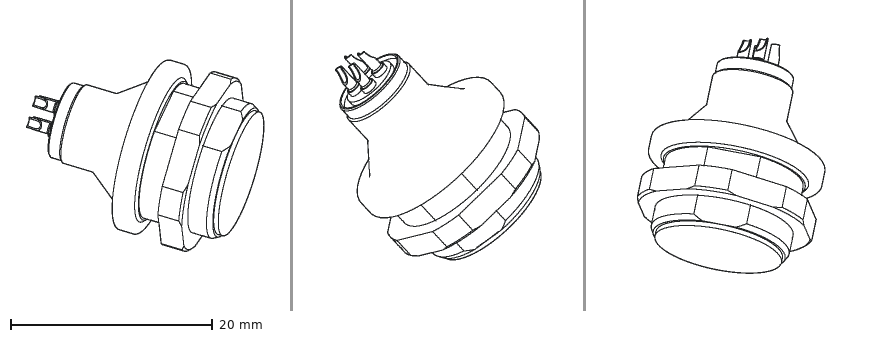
import cadquery as cq
import math


rear_x = 3.0
rear_radius = 3.9
rear_chamfer = 0.13
neck_x = 4.29
neck_radius = 4.09
neck_blend_x = 7.54
neck_blend_radius = 0.45
cone_angle = math.radians(36.5)
flange_blend_radius = 0.95
flange_x = 11.62
flange_end_x = 13.61
flange_radius = 8.82
flange_edge_fillet = 0.29
collar_end_x = 13.9
collar_radius = 7.5
collar_chamfer = collar_end_x - flange_end_x
thread_radius = 7.0
thread_chamfer_x = 21.06
thread_end_x = 21.61
thread_end_radius = 6.7
tail_radius = 6.43
tail_end_x = 22.1

flat_half_height = 6.48
insert_radius = 2.8
recess_radius = 3.6
recess_depth = 0.49

contact_count = 4
contact_circle_radius = 1.55
cup_direction = 45
contact_turn = 5.3
shank_radius = 0.55
flare_x = 2.28
collar_x = 2.45
flare_radius = 0.65
contact_collar_radius = 0.77
cup_bore_radius = 0.4
cup_bore_depth = collar_x
cup_cutter_radius = 2.2
cup_tip_level = -0.13

nut_x = 16.6
nut_end_x = 19.07
nut_across_flats = 17.0
nut_diameter = 18.0
nut_turn = 8.8
nut_chamfer = 0.27


def turned(outline):
    """Revolve a closed (x, radius) outline about the X axis."""
    return outline.close().revolve(360, (0, 0, 0), (1, 0, 0))


def cylinder_x(start_x, end_x, radius):
    """Cylinder along the X axis between two stations."""
    return cq.Workplane("YZ", origin=(start_x, 0, 0)).circle(radius).extrude(end_x - start_x)


def make_shell():
    """Turned shell: stepped neck, blended cone, flange, collar and threaded end."""
    sin_a = math.sin(cone_angle)
    cos_a = math.cos(cone_angle)
    sin_half = math.sin(cone_angle / 2)
    cos_half = math.cos(cone_angle / 2)
    cone_start_x = neck_blend_x + neck_blend_radius * sin_a
    cone_start_radius = neck_radius + neck_blend_radius * (1 - cos_a)
    neck_arc_x = neck_blend_x + neck_blend_radius * sin_half
    neck_arc_radius = neck_radius + neck_blend_radius * (1 - cos_half)
    blend_centre_x = flange_x - flange_blend_radius
    cone_end_x = blend_centre_x + flange_blend_radius * sin_a
    cone_end_radius = cone_start_radius + (cone_end_x - cone_start_x) * math.tan(cone_angle)
    blend_centre_radius = cone_end_radius + flange_blend_radius * cos_a
    mid_angle = (cone_angle + math.pi / 2) / 2
    flange_arc_x = blend_centre_x + flange_blend_radius * math.sin(mid_angle)
    flange_arc_radius = blend_centre_radius - flange_blend_radius * math.cos(mid_angle)

    fillet_inset = flange_edge_fillet * (1 - math.sqrt(0.5))
    neck_chamfer = neck_radius - rear_radius
    outline = (
        cq.Workplane("XY")
        .moveTo(rear_x, 0)
        .lineTo(rear_x, rear_radius - rear_chamfer)
        .lineTo(rear_x + rear_chamfer, rear_radius)
        .lineTo(neck_x, rear_radius)
        .lineTo(neck_x + neck_chamfer, neck_radius)
        .lineTo(neck_blend_x, neck_radius)
        .threePointArc((neck_arc_x, neck_arc_radius), (cone_start_x, cone_start_radius))
        .lineTo(cone_end_x, cone_end_radius)
        .threePointArc((flange_arc_x, flange_arc_radius), (flange_x, blend_centre_radius))
        .lineTo(flange_x, flange_radius - flange_edge_fillet)
        .threePointArc(
            (flange_x + fillet_inset, flange_radius - fillet_inset),
            (flange_x + flange_edge_fillet, flange_radius),
        )
        .lineTo(flange_end_x - flange_edge_fillet, flange_radius)
        .threePointArc(
            (flange_end_x - fillet_inset, flange_radius - fillet_inset),
            (flange_end_x, flange_radius - flange_edge_fillet),
        )
        .lineTo(flange_end_x, collar_radius)
        .lineTo(collar_end_x, collar_radius - collar_chamfer)
        .lineTo(collar_end_x, thread_radius)
        .lineTo(thread_chamfer_x, thread_radius)
        .lineTo(thread_end_x, thread_end_radius)
        .lineTo(thread_end_x, tail_radius)
        .lineTo(tail_end_x, tail_radius)
        .lineTo(tail_end_x, 0)
    )
    return turned(outline)


def cut_thread_flats(body):
    """Flatten the thread on its +Z and -Z sides, from the collar to the end."""
    length = tail_end_x - collar_end_x
    depth = thread_radius - flat_half_height
    for side in (1, -1):
        centre = ((collar_end_x + tail_end_x) / 2, 0, side * (flat_half_height + depth / 2))
        slab = cq.Workplane("XY", origin=centre).box(length, 2 * thread_radius, depth)
        body = body.cut(slab)
    return body


def cut_rear_recess(body):
    """Ring recess that leaves the round contact insert standing in the rear face."""
    floor_x = rear_x + recess_depth
    ring = cylinder_x(rear_x, floor_x, recess_radius).cut(cylinder_x(rear_x, floor_x, insert_radius))
    return body.cut(ring)


def make_contact():
    """One contact on the X axis, its solder cup opening towards +Z."""
    outline = (
        cq.Workplane("XY")
        .lineTo(0, shank_radius)
        .lineTo(flare_x, shank_radius)
        .lineTo(collar_x, flare_radius)
        .lineTo(collar_x, contact_collar_radius)
        .lineTo(rear_x + recess_depth, contact_collar_radius)
        .lineTo(rear_x + recess_depth, 0)
    )
    bore = cylinder_x(0, cup_bore_depth, cup_bore_radius)
    cutter = (
        cq.Workplane("XZ")
        .center(0, cup_tip_level + cup_cutter_radius)
        .circle(cup_cutter_radius)
        .extrude(shank_radius, both=True)
    )
    return turned(outline).cut(bore).cut(cutter)


def add_contacts(body):
    """Four contacts; the two on the -Y/+Z side open that way, the other two open opposite."""
    contact = make_contact()
    for index in range(contact_count):
        place_angle = index * 360 / contact_count - contact_turn
        opening_angle = cup_direction - contact_turn
        if index >= contact_count / 2:
            opening_angle += 180
        angle = math.radians(place_angle)
        position = (0, -contact_circle_radius * math.sin(angle), contact_circle_radius * math.cos(angle))
        body = body.union(contact.rotate((0, 0, 0), (1, 0, 0), opening_angle).translate(position))
    return body


def make_receptacle():
    body = make_shell()
    body = cut_thread_flats(body)
    body = cut_rear_recess(body)
    return add_contacts(body)


def make_nut():
    """Hexagon nut with rounded corners, chamfered on its +X face."""
    hexagon = (
        cq.Workplane("YZ", origin=(nut_x, 0, 0))
        .polygon(6, nut_across_flats, circumscribed=True)
        .extrude(nut_end_x - nut_x)
        .rotate((0, 0, 0), (1, 0, 0), nut_turn)
    )
    round_limit = cylinder_x(nut_x, nut_end_x, nut_diameter / 2).faces(">X").chamfer(nut_chamfer)
    return hexagon.intersect(round_limit).cut(cylinder_x(nut_x, nut_end_x, thread_radius))


receptacle = make_receptacle()
nut = make_nut()

result = cq.Compound.makeCompound([receptacle.val(), nut.val()])